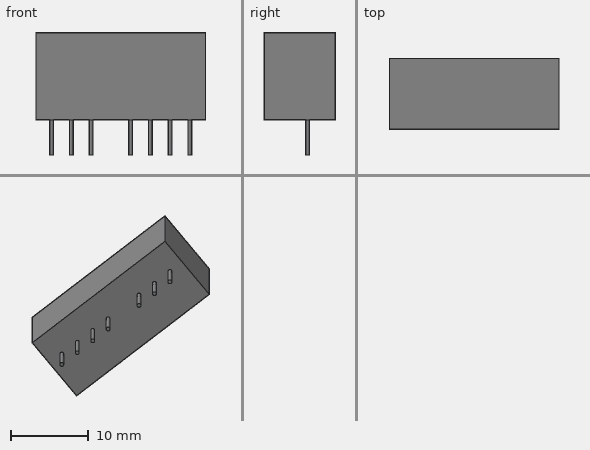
import cadquery as cq

LENGTH = 21.85
WIDTH = 9.13
TOTAL_HEIGHT = 15.75

PIN_DIAMETER = 0.5
PIN_LENGTH = 4.55
PIN_ROW_SPAN = 17.78
PIN_ROW_Y = 1.0
ROW_POSITIONS = 8
EMPTY_POSITION = 3

HOUSING_HEIGHT = TOTAL_HEIGHT - PIN_LENGTH
PIN_PITCH = PIN_ROW_SPAN / (ROW_POSITIONS - 1)


def make_housing():
    """Plain block with its underside on Z = 0."""
    return cq.Workplane("XY").box(LENGTH, WIDTH, HOUSING_HEIGHT, centered=(True, True, False))


def make_pin(x):
    """Round pin hanging from the underside of the housing."""
    return cq.Workplane("XY").center(x, PIN_ROW_Y).circle(PIN_DIAMETER / 2).extrude(-PIN_LENGTH)


housing = make_housing()

first_pin_x = -PIN_ROW_SPAN / 2
pins = []
for position in range(ROW_POSITIONS):
    if position != EMPTY_POSITION:
        pins.append(make_pin(first_pin_x + position * PIN_PITCH).val())

result = cq.Compound.makeCompound([housing.val(), *pins])